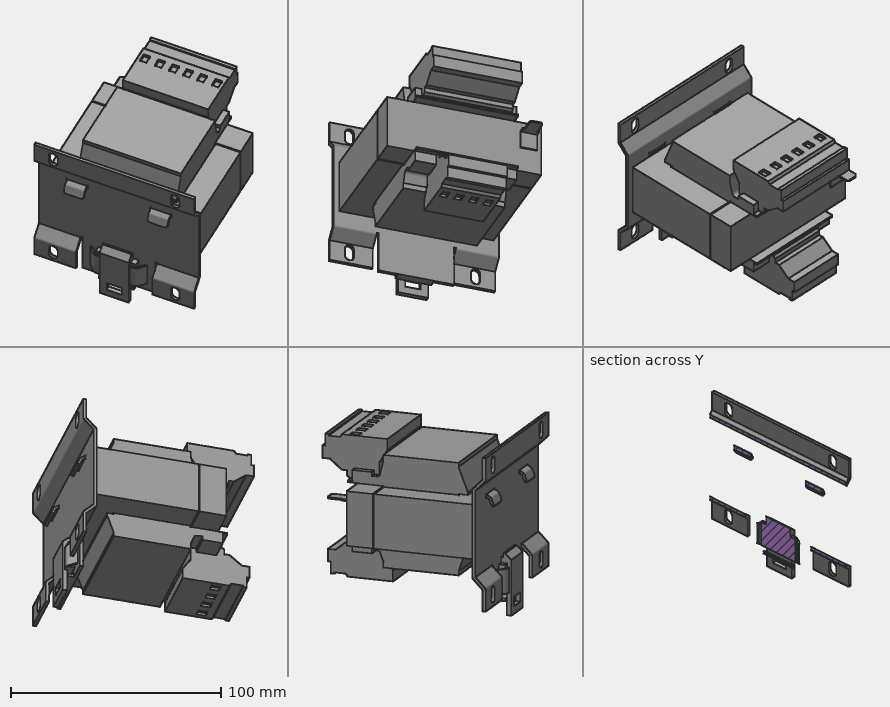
import cadquery as cq
import math


plate_width = 84.0
sheet = 1.6
plate_front = 5.2
plate_back = plate_front + sheet
flange_end = 37.95
flange_bend = 27.3
plate_bottom = 42.0
tongue_half_width = 19.1
tab_inner_x = 20.1
slot_x = 32.0
slot_z = 32.05
slot_width = 4.6
slot_length = 8.2
bend_run = sheet * math.sqrt(0.5)
bend_foot = flange_bend - plate_front + sheet - 2 * bend_run

hook_x = 22.0
hook_width = 10.4
hook_window_width = 11.3
hook_top = 15.7
hook_knee_y = 2.9
hook_knee_z = 14.2
hook_tip_y = 1.15
hook_tip_z = 10.1
hook_window_height = 1.8
hook_sheet = 1.3
hook_corner = 0.8

clip_width = 15.3
clip_thickness = 2.4
clip_bottom = -49.25
clip_shoulder = -21.6
clip_top = -18.75
clip_head_depth = 4.2
clip_crest = 1.0
clip_ledge = -20.6
clip_window_width = 7.9
clip_window_top = -40.85
clip_window_bottom = -45.4
slider_width = 21.2
slider_front = 2.0
slider_top = -23.5
strap_width = 30.1
strap_top = -25.3
strap_bottom = -37.6
strap_front = 1.0
strap_slope = math.radians(46)
strap_bend_radius = 3.5
strap_sheet = 1.0
stop_width = 18.2
stop_top = -40.6
stop_root_radius = 1.1

core_width = 78.2
core_height = 27.0
core_end = 71.9
seam_front = 58.1
seam_rear = 58.6
seam_depth = 0.2
window_width = 52.2
window_front = 19.6

coil_width = 51.5
coil_base = 13.85
coil_front = 20.0
coil_rear = 58.2
coil_rear_shoulder = 2.8
coil_front_shoulder = 2.0
throat_start = 60.25
throat_radius = 1.9
upper_coil_top = 29.3
upper_coil_foot = 15.2
lower_coil_top = 26.5
lower_coil_foot = 16.7
coil_foot_height = 1.3
rail_gap_floor = 18.2
rail_front = 64.05
rail_rear = 74.1
rail_top = 20.15
base_end = 76.3
base_top = 14.8

upper_block_edges = (-22.45, -14.95, 0, 22.45)
lower_block_edges = (-14.95, 0, 14.95)
terminal_top = 36.3
terminal_front = 57.5
front_face_bottom = 30.8
front_leg_y = 61.5
front_leg_top = 24.5
rear_leg_y = 78.1
rear_leg_bottom = 15.1
rear_leg_top = 18.65
rear_leg_chamfer_y = 1.3
rear_leg_chamfer_z = 1.1
underside_front = 80.6
underside_rear = 86.7
nose_end = 90.6
nose_bottom = 23.5
nose_top = 29.75
lip_rear = 89.2
lip_front = 87.4
lip_top = 35.6
recess_floor = 34.9
recess_front = 81.6
recess_rim = 80.6
entry_width = 3.5
entry_front = 72.5
entry_rear = 77.0
entry_depth = 1.5
upper_entry_centres = (3.7, 11.1, 18.9)
lower_entry_centres = (3.7, 11.1)

blade_x = -32.6
blade_width = 6.4
blade_root_width = 8.3
blade_thickness = 0.8
blade_top = 8.6
blade_leg_bottom = -0.6
blade_root_end = 75.1
blade_end = 83.0
blade_chamfer = 0.9


def box(x0, x1, y0, y1, z0, z1):
    return cq.Workplane("XY").box(x1 - x0, y1 - y0, z1 - z0, centered=False).translate((x0, y0, z0))


def centred_box(width, y0, y1, z0, z1):
    return box(-width / 2, width / 2, y0, y1, z0, z1)


def side_profile(points, width, centre_x=0.0):
    """Extrude a (Y, Z) outline symmetrically about X = centre_x."""
    outline = cq.Workplane("YZ").polyline(points).close()
    return outline.extrude(width / 2, both=True).translate((centre_x, 0, 0))


def joggled_flange(x0, x1):
    """Sheet flange pointing up, stepped forward from the plate by two 45 degree bends."""
    half_cos = sheet * math.cos(math.pi / 8)
    half_sin = sheet * math.sin(math.pi / 8)
    upper_arc_mid = (sheet - half_cos, flange_bend - half_sin)
    lower_arc_mid = (plate_front + half_cos, bend_foot + half_sin)
    outline = (
        cq.Workplane("YZ")
        .moveTo(0, flange_end)
        .lineTo(0, flange_bend)
        .threePointArc(upper_arc_mid, (sheet - bend_run, flange_bend - bend_run))
        .lineTo(plate_front, bend_foot)
        .lineTo(plate_back, bend_foot)
        .threePointArc(lower_arc_mid, (plate_front + bend_run, bend_foot + bend_run))
        .lineTo(sheet, flange_bend)
        .lineTo(sheet, flange_end)
        .close()
    )
    return outline.extrude(x1 - x0).translate((x0, 0, 0))


def mounting_plate():
    half = plate_width / 2
    plate = centred_box(plate_width, plate_front, plate_back, -bend_foot, bend_foot)
    plate = plate.union(
        centred_box(2 * tongue_half_width, plate_front, plate_back, -plate_bottom, -bend_foot)
    )
    plate = plate.union(joggled_flange(-half, half))
    for x0, x1 in ((-half, -tab_inner_x), (tab_inner_x, half)):
        plate = plate.union(joggled_flange(x0, x1).mirror("XY"))
    slots = (
        cq.Workplane("XZ")
        .rarray(2 * slot_x, 2 * slot_z, 2, 2)
        .slot2D(slot_length, slot_width, 90)
        .extrude(-sheet)
    )
    return plate.cut(slots)


def rail_hook(x):
    """Tongue punched out of the plate, sloping forward and then bent further down."""
    outer_root = (plate_front, hook_top)
    outer_knee = (hook_knee_y, hook_knee_z)
    outer_tip = (hook_tip_y, hook_tip_z)
    root_angle = math.atan2(outer_root[1] - outer_knee[1], outer_root[0] - outer_knee[0])
    tip_angle = math.atan2(outer_knee[1] - outer_tip[1], outer_knee[0] - outer_tip[0])
    mean_angle = (root_angle + tip_angle) / 2
    mitre = hook_sheet / math.cos((tip_angle - root_angle) / 2)
    back_rise = sheet * math.tan(root_angle)
    root_height = hook_sheet / math.cos(root_angle)
    inner_tip = (
        outer_tip[0] + hook_sheet * math.sin(tip_angle),
        outer_tip[1] - hook_sheet * math.cos(tip_angle),
    )
    inner_knee = (
        outer_knee[0] + mitre * math.sin(mean_angle),
        outer_knee[1] - mitre * math.cos(mean_angle),
    )
    outline = [
        outer_root,
        outer_knee,
        outer_tip,
        inner_tip,
        inner_knee,
        (plate_back, hook_top + back_rise - root_height),
        (plate_back, hook_top + back_rise),
    ]
    hook = side_profile(outline, hook_width)
    knee = cq.selectors.NearestToPointSelector((0, *outer_knee))
    hook = hook.edges("|X").edges(knee).fillet(hook_sheet)
    tip_mid_y = (outer_tip[0] + inner_tip[0]) / 2
    tip_mid_z = (outer_tip[1] + inner_tip[1]) / 2
    for side in (-1, 1):
        corner = cq.selectors.NearestToPointSelector((side * hook_width / 2, tip_mid_y, tip_mid_z))
        hook = hook.edges(corner).chamfer(hook_corner)
    return hook.translate((x, 0, 0))


def add_rail_hooks(body):
    for x in (-hook_x, hook_x):
        half_window = hook_window_width / 2
        window_bottom = hook_top - hook_window_height
        body = body.cut(
            box(x - half_window, x + half_window, plate_front, plate_back, window_bottom, hook_top)
        )
        body = body.union(rail_hook(x))
    return body


def rail_clip():
    """Spring clip tongue with a sloped head, carried by a slider running under the strap."""
    outline = [
        (0, clip_bottom),
        (0, clip_shoulder),
        (clip_head_depth - clip_crest, clip_top),
        (clip_head_depth, clip_top),
        (clip_head_depth, clip_ledge),
        (plate_front, clip_ledge),
        (plate_front, slider_top),
        (clip_thickness, slider_top),
        (clip_thickness, clip_bottom),
    ]
    clip = side_profile(outline, clip_width)
    slider = centred_box(slider_width, slider_front, plate_front, strap_bottom, slider_top)
    window = centred_box(clip_window_width, 0, clip_thickness, clip_window_bottom, clip_window_top)
    return clip.union(slider).cut(window)


def strap_block(inset):
    """Trapezoidal hump standing on the plate, its front corners rounded."""
    front = strap_front + inset
    rise = plate_front - front
    foot_x = strap_width / 2 - inset / math.sin(strap_slope)
    shoulder_x = foot_x - rise / math.tan(strap_slope)
    hump = (
        cq.Workplane("XY", origin=(0, 0, strap_bottom))
        .polyline([(-foot_x, plate_front), (-shoulder_x, front), (shoulder_x, front), (foot_x, plate_front)])
        .close()
        .extrude(strap_top - strap_bottom)
    )
    return hump.edges("|Z and <Y").fillet(strap_bend_radius - inset)


def clip_strap():
    return strap_block(0).cut(strap_block(strap_sheet))


def clip_stop():
    """Lug bent forward from the plate's lower edge, with a rounded root, closing on the clip."""
    radius = stop_root_radius
    arc_offset = radius * (1 - math.sqrt(0.5))
    outline = (
        cq.Workplane("YZ")
        .moveTo(clip_thickness, -plate_bottom)
        .lineTo(clip_thickness, stop_top)
        .lineTo(plate_front - radius, stop_top)
        .threePointArc((plate_front - arc_offset, stop_top + arc_offset), (plate_front, stop_top + radius))
        .lineTo(plate_front, -plate_bottom)
        .close()
    )
    return outline.extrude(stop_width / 2, both=True)


def core():
    """Laminated core with a shallow seam groove around it and an open winding window."""
    half_height = core_height / 2
    stack = centred_box(core_width, plate_back, core_end, -half_height, half_height)
    seam_ring = centred_box(core_width, seam_front, seam_rear, -half_height, half_height).cut(
        centred_box(
            core_width - 2 * seam_depth,
            seam_front,
            seam_rear,
            seam_depth - half_height,
            half_height - seam_depth,
        )
    )
    window = centred_box(window_width, window_front, seam_front, -half_height, half_height)
    return stack.cut(seam_ring).cut(window)


def coil_body(foot, top):
    """Moulded coil housing above the core, with the terminal rail at its rear."""
    outline = [
        (foot, coil_base),
        (foot, coil_base + coil_foot_height),
        (coil_front, top - coil_front_shoulder),
        (coil_front, top),
        (coil_rear, top),
        (coil_rear, top - coil_rear_shoulder),
        (throat_start, rail_gap_floor),
        (rail_front, rail_gap_floor),
        (rail_front, rail_top),
        (rail_rear, rail_top),
        (rail_rear, base_top),
        (base_end, base_top),
        (base_end, coil_base),
    ]
    housing = side_profile(outline, coil_width)
    throat = cq.selectors.NearestToPointSelector((0, throat_start, rail_gap_floor))
    housing = housing.edges("|X").edges(throat).fillet(throat_radius)
    root = centred_box(coil_width, coil_front, seam_front, 0, coil_base)
    return housing.union(root)


def terminal_block(x0, x1):
    """Terminal block straddling the coil's rail, with an overhanging nose at the rear."""
    outline = [
        (terminal_front, terminal_top),
        (terminal_front, front_face_bottom),
        (front_leg_y, front_leg_top),
        (front_leg_y, rail_gap_floor),
        (rail_rear, rear_leg_bottom),
        (rear_leg_y - rear_leg_chamfer_y, rear_leg_bottom),
        (rear_leg_y, rear_leg_bottom + rear_leg_chamfer_z),
        (rear_leg_y, rear_leg_top),
        (underside_front, rear_leg_top),
        (underside_rear, nose_bottom),
        (nose_end, nose_bottom),
        (nose_end, nose_top),
        (lip_rear, nose_top),
        (lip_rear, lip_top),
        (lip_front, lip_top),
        (lip_front, recess_floor),
        (recess_front, recess_floor),
        (recess_rim, terminal_top),
    ]
    return side_profile(outline, x1 - x0, (x0 + x1) / 2)


def terminal_row(block_edges, entry_centres):
    """Abutting terminal blocks with wire entries; the joints between the blocks are kept."""
    row = terminal_block(block_edges[0], block_edges[1])
    for x0, x1 in zip(block_edges[1:], block_edges[2:]):
        row = row.union(terminal_block(x0, x1), clean=False)
    half = entry_width / 2
    entry_floor = terminal_top - entry_depth
    for centre in entry_centres:
        for x in (-centre, centre):
            entry = box(x - half, x + half, entry_front, entry_rear, entry_floor, terminal_top)
            row = row.cut(entry, clean=False)
    return row


def earth_blade():
    """Flat push-on blade with a leg folded down onto the end of the core."""
    leg_outer = core_end + blade_thickness
    blade = (
        box(-blade_width / 2, blade_width / 2, core_end, blade_end, blade_top - blade_thickness, blade_top)
        .edges("|Z and >Y")
        .chamfer(blade_chamfer)
    )
    root = centred_box(
        blade_root_width, core_end, blade_root_end, blade_top - blade_thickness, blade_top
    )
    leg = centred_box(blade_root_width, core_end, leg_outer, blade_leg_bottom, blade_top)
    return blade.union(root).union(leg).translate((blade_x, 0, 0))


body = add_rail_hooks(mounting_plate())
body = body.union(clip_stop()).union(rail_clip()).union(clip_strap())
body = body.union(core()).union(earth_blade())
body = body.union(coil_body(upper_coil_foot, upper_coil_top))
body = body.union(coil_body(lower_coil_foot, lower_coil_top).mirror("XY"))
upper_terminals = terminal_row(upper_block_edges, upper_entry_centres)
lower_terminals = terminal_row(lower_block_edges, lower_entry_centres).mirror("XY")
body = body.union(upper_terminals, clean=False)
result = body.union(lower_terminals, clean=False)